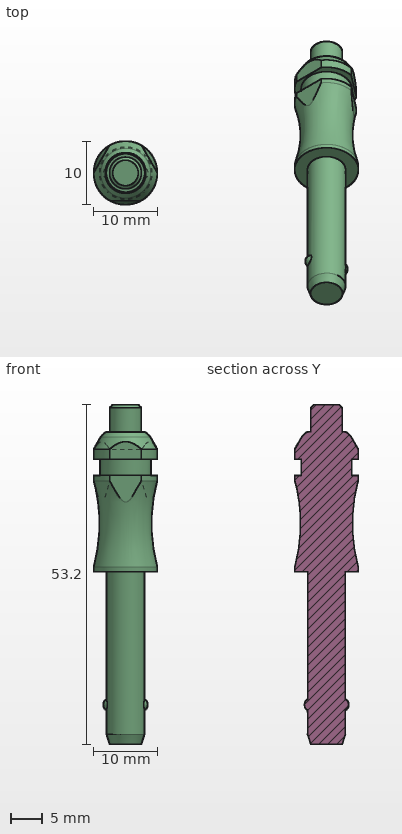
import cadquery as cq
import math

full_turn = 360.0

shank_radius = 3.0
shank_length = 27.0
tip_radius = 2.5
tip_height = 1.6

flange_radius = 5.0
handle_height = 15.1
rim_height = 0.8
waist_radius = 4.1

neck_radius = 4.0
neck_height = 2.5
head_band_height = 1.6
head_cone_height = 1.95
head_top_height = 0.8
head_shoulder_radius = 3.9
head_edge_radius = 3.2
head_edge_height = 0.1
head_top_radius = 3.0

button_radius = 2.5
button_height = 4.25
button_chamfer = 0.5

flat_count = 3
flat_half_angle = 30.0
flat_distance = flange_radius * math.cos(math.radians(flat_half_angle))
first_flat_angle = 30.0

ball_radius = 1.0
ball_projection = 0.5
ball_height = 6.2

handle_bottom = shank_length
handle_top = handle_bottom + handle_height
waist_level = (handle_bottom + handle_top) / 2
head_bottom = handle_top + neck_height
head_cone_bottom = head_bottom + head_band_height
head_shoulder = head_cone_bottom + head_cone_height
head_top = head_shoulder + head_top_height
button_top = head_top + button_height


def waist_arc_radius():
    """Radius of the arc tangent to the waist that ends at the flange rim."""
    rise = handle_height / 2 - rim_height
    depth = flange_radius - waist_radius
    return (rise**2 + depth**2) / (2 * depth)


def waist_arc_middle(direction):
    """Point halfway along the arc below (-1) or above (+1) the waist."""
    arc_radius = waist_arc_radius()
    half_angle = math.asin((handle_height / 2 - rim_height) / arc_radius) / 2
    radius = waist_radius + arc_radius * (1 - math.cos(half_angle))
    return radius, waist_level + direction * arc_radius * math.sin(half_angle)


def turned_body():
    """Shank, handle, neck, head and button as one revolved profile."""
    profile = (
        cq.Workplane("XZ")
        .moveTo(0, 0)
        .lineTo(tip_radius, 0)
        .lineTo(shank_radius, tip_height)
        .lineTo(shank_radius, handle_bottom)
        .lineTo(flange_radius, handle_bottom)
        .lineTo(flange_radius, handle_bottom + rim_height)
        .threePointArc(waist_arc_middle(-1), (waist_radius, waist_level))
        .threePointArc(waist_arc_middle(1), (flange_radius, handle_top - rim_height))
        .lineTo(flange_radius, handle_top)
        .lineTo(neck_radius, handle_top)
        .lineTo(neck_radius, head_bottom)
        .lineTo(flange_radius, head_bottom)
        .lineTo(flange_radius, head_cone_bottom)
        .lineTo(head_shoulder_radius, head_shoulder)
        .lineTo(head_edge_radius, head_top - head_edge_height)
        .lineTo(head_top_radius, head_top)
        .lineTo(button_radius, head_top)
        .lineTo(button_radius, button_top - button_chamfer)
        .lineTo(button_radius - button_chamfer, button_top)
        .lineTo(0, button_top)
        .close()
    )
    return profile.revolve(full_turn, (0, 0, 0), (0, 1, 0))


def flat_cutter(angle):
    """Block outside one flat, from the waist up past the head."""
    return (
        cq.Workplane("XY", origin=(0, 0, waist_level))
        .center(flat_distance + flange_radius / 2, 0)
        .rect(flange_radius, 2 * flange_radius)
        .extrude(button_top - waist_level)
        .rotate((0, 0, 0), (0, 0, 1), angle)
    )


def locking_ball(side):
    """Ball standing out of the shank on the +X (1) or -X (-1) side."""
    center_x = side * (shank_radius + ball_projection - ball_radius)
    return cq.Workplane("XY", origin=(center_x, 0, ball_height)).sphere(ball_radius)


result = turned_body()
for index in range(flat_count):
    result = result.cut(flat_cutter(first_flat_angle + index * full_turn / flat_count))
for side in (-1, 1):
    result = result.union(locking_ball(side))